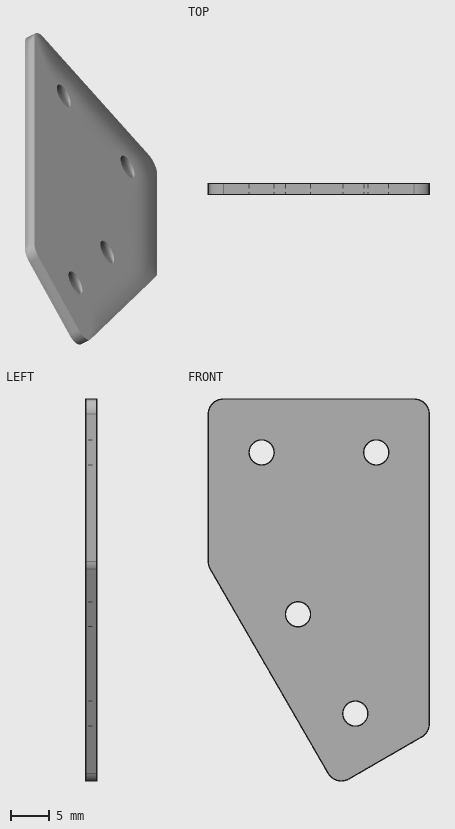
import cadquery as cq
import math

width = 29.0
height = 50.05
thickness = 1.5
corner_radius = 2.0
hole_diameter = 3.25
edge_distance = 7.0
hole_pitch = 15.0
slant_angle = 60.0
tip_x = 16.7

slant = math.radians(slant_angle)
up_x, up_z = -math.cos(slant), math.sin(slant)
in_x, in_z = math.sin(slant), math.cos(slant)

tip_z = corner_radius * (1 - up_z - in_z)
left_corner_z = tip_z + tip_x * math.tan(slant)
right_corner_z = tip_z + (width - tip_x) / math.tan(slant)


def tip_offset(along, across):
    """Point measured from the sharp tip, along and across the long slanted edge."""
    return (tip_x + along * up_x + across * in_x, tip_z + along * up_z + across * in_z)


outline = [
    (0, height),
    (width, height),
    (width, right_corner_z),
    (tip_x, tip_z),
    (0, left_corner_z),
]
plate = cq.Workplane("XZ").polyline(outline).close().extrude(-thickness)
plate = plate.edges("|Y").fillet(corner_radius)

top_holes = [(edge_distance + i * hole_pitch, height - edge_distance) for i in range(2)]
slant_holes = [tip_offset(edge_distance + i * hole_pitch, edge_distance) for i in range(2)]
holes = (
    cq.Workplane("XZ")
    .pushPoints(top_holes + slant_holes)
    .circle(hole_diameter / 2)
    .extrude(-thickness)
)

result = plate.cut(holes)